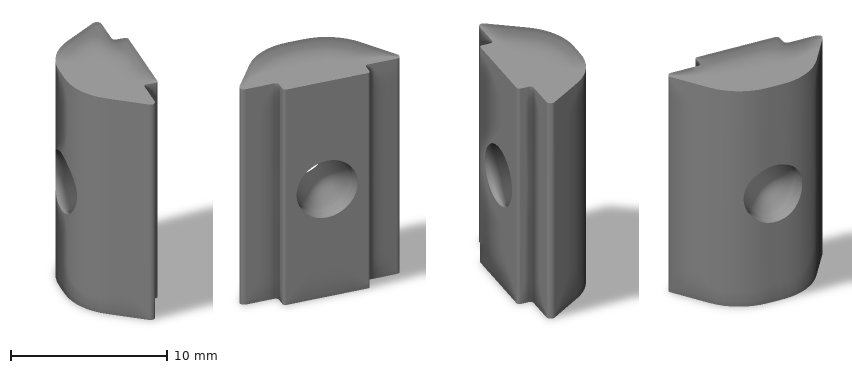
import cadquery as cq
import math

length = 16.0
width = 11.0
depth = 5.5
tab_width = 6.0
tab_height = 1.0
tab_edge_radius = 0.2
tab_root_radius = 0.24
wing_tip_radius = 0.3
belly_flat_width = 1.12
belly_radius = 4.0
hole_diameter = 4.2

half_width = width / 2
half_tab = tab_width / 2
half_flat = belly_flat_width / 2
back_y = depth / 2
belly_y = -depth / 2
shoulder_y = back_y - tab_height


belly_center = (half_flat, belly_y + belly_radius)
tip_center = (half_width - wing_tip_radius, shoulder_y - wing_tip_radius)
center_dx = tip_center[0] - belly_center[0]
center_dy = tip_center[1] - belly_center[1]
center_gap = math.hypot(center_dx, center_dy)
flank_angle = math.asin((belly_radius - wing_tip_radius) / center_gap) + math.atan2(center_dy, center_dx)


def arc_point(center, radius, angle):
    """Point on an arc, turned by angle (radians) from its lowest point towards +X."""
    return (
        center[0] + radius * math.sin(angle),
        center[1] - radius * math.cos(angle),
    )


def mirrored(point):
    """Reflect a profile point across the Y axis."""
    return (-point[0], point[1])


belly_middle = arc_point(belly_center, belly_radius, flank_angle / 2)
belly_end = arc_point(belly_center, belly_radius, flank_angle)
tip_start = arc_point(tip_center, wing_tip_radius, flank_angle)
tip_middle = arc_point(tip_center, wing_tip_radius, (flank_angle + math.pi) / 2)
tip_end = arc_point(tip_center, wing_tip_radius, math.pi)

body = (
    cq.Workplane("XY")
    .moveTo(-half_flat, belly_y)
    .lineTo(half_flat, belly_y)
    .threePointArc(belly_middle, belly_end)
    .lineTo(*tip_start)
    .threePointArc(tip_middle, tip_end)
    .lineTo(half_tab, shoulder_y)
    .lineTo(half_tab, back_y)
    .lineTo(-half_tab, back_y)
    .lineTo(-half_tab, shoulder_y)
    .lineTo(*mirrored(tip_end))
    .threePointArc(mirrored(tip_middle), mirrored(tip_start))
    .lineTo(*mirrored(belly_end))
    .threePointArc(mirrored(belly_middle), (-half_flat, belly_y))
    .close()
    .extrude(length / 2, both=True)
)


def round_edge_pair(solid, x, y, radius):
    """Round the two lengthwise edges at (x, y) and (-x, y)."""
    for side in (-1, 1):
        edge = cq.selectors.NearestToPointSelector((side * x, y, 0))
        solid = solid.edges("|Z").edges(edge).fillet(radius)
    return solid


body = round_edge_pair(body, half_tab, back_y, tab_edge_radius)
body = round_edge_pair(body, half_tab, shoulder_y, tab_root_radius)

hole = cq.Workplane("XZ", origin=(0, back_y, 0)).circle(hole_diameter / 2).extrude(depth)

result = body.cut(hole)